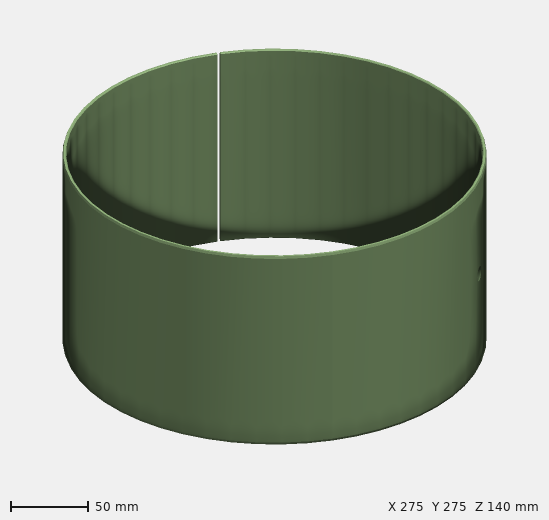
import cadquery as cq

outer_diameter = 275.0
height = 140.0
wall = 2.5
outer_bevel_height = 1.6
outer_bevel_depth = 0.5
inner_bevel = 0.5
slit_width = 2.2
hole_diameter = 10.0
hole_angle = 59.0

outer_radius = outer_diameter / 2
inner_radius = outer_radius - wall
outer_rim_radius = outer_radius - outer_bevel_depth
inner_rim_radius = inner_radius + inner_bevel
half_height = height / 2
outer_bevel_start = half_height - outer_bevel_height
inner_bevel_start = half_height - inner_bevel


def make_band():
    """Thin ring with steep bevels on the outer rims and 45-degree bevels on the inner rims."""
    profile = [
        (inner_radius, -inner_bevel_start),
        (inner_rim_radius, -half_height),
        (outer_rim_radius, -half_height),
        (outer_radius, -outer_bevel_start),
        (outer_radius, outer_bevel_start),
        (outer_rim_radius, half_height),
        (inner_rim_radius, half_height),
        (inner_radius, inner_bevel_start),
    ]
    return cq.Workplane("XZ").polyline(profile).close().revolve(360, (0, 0, 0), (0, 1, 0))


def make_slit():
    """Full-height split through the -X wall, with one face on the XZ plane."""
    cutter_length = 4 * wall
    cutter = cq.Workplane("XY").box(cutter_length, slit_width, height)
    return cutter.translate((-outer_radius, slit_width / 2, 0))


def make_hole():
    """Radial hole at mid-height, turned from +X towards +Y."""
    hole = cq.Workplane("YZ").circle(hole_diameter / 2).extrude(outer_radius)
    return hole.rotate((0, 0, 0), (0, 0, 1), hole_angle)


result = make_band().cut(make_slit()).cut(make_hole())